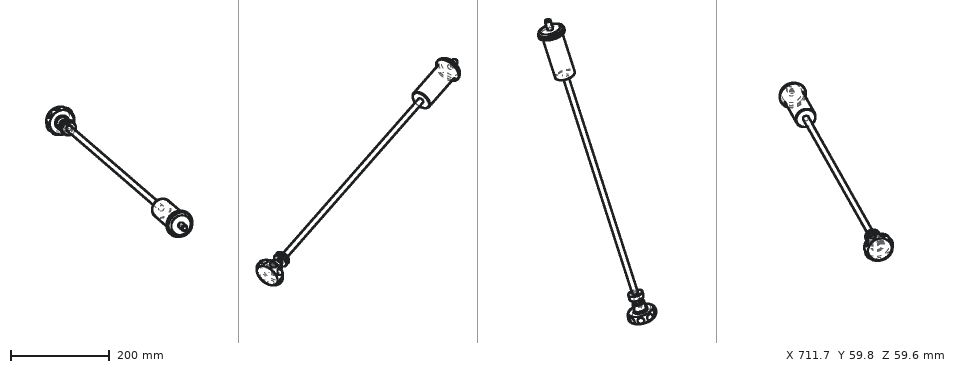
import cadquery as cq
import math


total_length = 711.67
rod_radius = 6.0
rod_chamfer = 1.5
rod_start = 30.0
end_hole_x = 693.8
end_hole_diameter = 3.0
end_hole_angle = -15.0

knob_radius = 30.0
face_x = 2.2
face_radius = 24.7
rim_x = 11.6
knob_back_x = 20.8
knob_back_radius = 26.0
scallop_count = 9
scallop_floor_radius = 28.0
scallop_radius = 21.0
scallop_overrun = 5.0
first_scallop_angle = -6.2

shoulder_radius = 14.5
shoulder_end_x = 24.0
hub_radius = 12.5
hub_end_x = 40.2
hub_chamfer = 1.6
pin_x = 32.3
pin_diameter = 4.0
pin_angle = -15.0

collar_x = 50.3
collar_width = 11.2
collar_radius = 15.0
collar_chamfer = 0.5
slit_angle = 72.0
slit_width = 1.5
screw_offset = 9.8
screw_diameter = 4.5
head_diameter = 8.0
head_seat = 4.0

barrel_x = 580.4
barrel_radius = 21.0
barrel_chamfer = 1.5
flange_x = 680.0
flange_radius = 27.5
flange_rim_end_x = 684.0
flange_taper_x = 687.8
flange_taper_radius = 26.0
flange_end_x = 690.5
flange_end_radius = 21.0
root_fillet = 3.0


def revolve_about_x(profile):
    """Solid of revolution from a closed (x, radius) profile."""
    return profile.close().revolve(360, (0, 0, 0), (1, 0, 0))


def cylinder(start_x, end_x, radius):
    return cq.Workplane("YZ", origin=(start_x, 0, 0)).circle(radius).extrude(end_x - start_x)


def turn_to(shape, angle):
    """Turn a shape modelled towards -Y so that it points to the given angle around X."""
    return shape.rotate((0, 0, 0), (1, 0, 0), -angle)


def radial_drill(x, diameter, angle, outer, inner):
    """Drill from `outer` on the side at the given angle to `inner` past the axis."""
    drill = cq.Workplane("XZ", origin=(x, inner, 0)).circle(diameter / 2).extrude(outer + inner)
    return turn_to(drill, angle)


def rim_arc_middle(corner_x, corner_radius):
    """Middle of the arc from a corner of the rim to its crest, where it runs parallel to the axis."""
    run = rim_x - corner_x
    drop = knob_radius - corner_radius
    arc_radius = (run**2 + drop**2) / (2 * drop)
    half_angle = math.asin(run / arc_radius) / 2
    return (
        rim_x - arc_radius * math.sin(half_angle),
        knob_radius - arc_radius * (1 - math.cos(half_angle)),
    )


def make_knob():
    dome_radius = (face_radius**2 + face_x**2) / (2 * face_x)
    half_radius = face_radius / 2
    dome_middle_x = dome_radius - math.sqrt(dome_radius**2 - half_radius**2)
    profile = (
        cq.Workplane("XY")
        .moveTo(0, 0)
        .threePointArc((dome_middle_x, half_radius), (face_x, face_radius))
        .threePointArc(rim_arc_middle(face_x, face_radius), (rim_x, knob_radius))
        .threePointArc(rim_arc_middle(knob_back_x, knob_back_radius), (knob_back_x, knob_back_radius))
        .lineTo(knob_back_x, 0)
    )
    knob = revolve_about_x(profile)
    for index in range(scallop_count):
        cutter = cylinder(-scallop_overrun, knob_back_x + scallop_overrun, scallop_radius)
        cutter = cutter.translate((0, -(scallop_floor_radius + scallop_radius), 0))
        knob = knob.cut(turn_to(cutter, first_scallop_angle + index * 360 / scallop_count))
    return knob


def make_hub():
    shoulder = cylinder(rim_x, shoulder_end_x, shoulder_radius)
    hub = cylinder(rim_x, hub_end_x, hub_radius).faces(">X").chamfer(hub_chamfer)
    return shoulder.union(hub)


def make_collar():
    collar = cylinder(collar_x, collar_x + collar_width, collar_radius)
    collar = collar.faces("<X or >X").chamfer(collar_chamfer)
    middle_x = collar_x + collar_width / 2
    slit = cq.Workplane("XY").box(collar_width, collar_radius, slit_width)
    slit = slit.translate((middle_x, -collar_radius / 2, 0))
    screw_origin = (middle_x, -screw_offset, -collar_radius)
    screw = cq.Workplane("XY", origin=screw_origin)
    screw = screw.circle(screw_diameter / 2).extrude(2 * collar_radius)
    head = cq.Workplane("XY", origin=(middle_x, -screw_offset, head_seat))
    head = head.circle(head_diameter / 2).extrude(collar_radius)
    return collar.cut(turn_to(slit.union(screw).union(head), slit_angle))


def make_barrel():
    barrel = cylinder(barrel_x, flange_x, barrel_radius)
    return barrel.faces("<X").chamfer(barrel_chamfer)


def make_flange():
    root_start_x = flange_x - root_fillet
    root_radius = barrel_radius + root_fillet
    root_middle_x = root_start_x + root_fillet * math.sin(math.pi / 4)
    root_middle_radius = root_radius - root_fillet * math.cos(math.pi / 4)
    profile = (
        cq.Workplane("XY")
        .moveTo(root_start_x, 0)
        .lineTo(root_start_x, barrel_radius)
        .threePointArc((root_middle_x, root_middle_radius), (flange_x, root_radius))
        .lineTo(flange_x, flange_radius)
        .lineTo(flange_rim_end_x, flange_radius)
        .lineTo(flange_taper_x, flange_taper_radius)
        .lineTo(flange_end_x, flange_end_radius)
        .lineTo(flange_end_x, 0)
    )
    return revolve_about_x(profile)


def make_rod():
    rod = cylinder(rod_start, total_length, rod_radius)
    return rod.faces(">X").chamfer(rod_chamfer)


result = make_knob().union(make_hub()).union(make_rod())
result = result.union(make_collar()).union(make_barrel()).union(make_flange())
result = result.cut(radial_drill(pin_x, pin_diameter, pin_angle, hub_radius, hub_radius))
result = result.cut(radial_drill(end_hole_x, end_hole_diameter, end_hole_angle, rod_radius, 0))